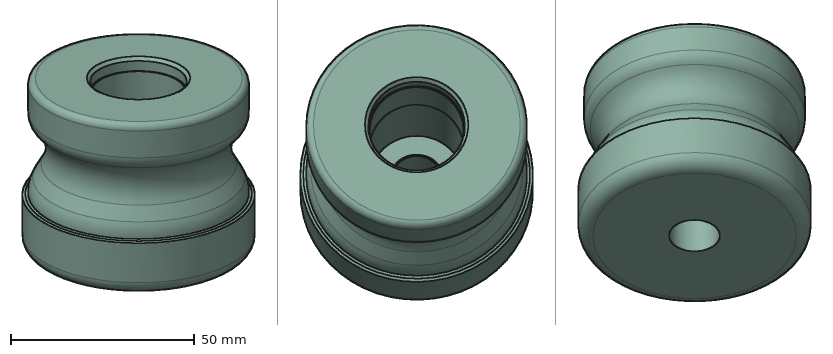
import cadquery as cq
import math

total_height = 50.8

base_radius = 31.75
base_height = 16.05
base_fillet = 4.0
base_chamfer_width = 0.8
base_chamfer_height = 0.25
neck_radius = 15.9
neck_top = 34.6
bore_radius = 12.75
bore_floor = 12.7
through_radius = 6.9
through_chamfer = 0.3

rim_radius = 30.15
rim_top_fillet = 2.0
rim_lower_z = 40.75
rim_lower_fillet = 5.0
waist_radius = 25.35
waist_arc = 9.7
flare_arc = 8.65
flare_overhang_height = 0.3
foot_radius = base_radius - base_chamfer_width
foot_height = 0.25
mouth_radius = 13.15
mouth_depth = 3.95
mouth_chamfer = 0.95


def arc_point(center, radius, angle):
    """Point on a circle, with the angle in radians."""
    return (center[0] + radius * math.cos(angle), center[1] + radius * math.sin(angle))


def make_disc():
    """Disc of the base, with a shallow top chamfer and a rounded bottom edge."""
    disc = (
        cq.Workplane("XZ")
        .lineTo(base_radius, 0)
        .lineTo(base_radius, base_height - base_chamfer_height)
        .lineTo(foot_radius, base_height)
        .lineTo(0, base_height)
        .close()
        .revolve(360, (0, 0, 0), (0, 1, 0))
    )
    return disc.faces("<Z").edges().fillet(base_fillet)


def make_base():
    """Rounded disc with a tubular neck, a blind bore and a smaller through hole."""
    neck = cq.Workplane("XY").circle(neck_radius).extrude(neck_top)
    base = make_disc().union(neck)
    bore = cq.Workplane("XY").workplane(offset=bore_floor).circle(bore_radius).extrude(neck_top)
    through = cq.Workplane("XY").circle(through_radius).extrude(total_height)
    countersink = cq.Workplane("XY").add(cq.Solid.makeCone(
        through_radius, through_radius + through_chamfer, through_chamfer,
        pnt=cq.Vector(0, 0, bore_floor - through_chamfer)))
    return base.cut(bore).cut(through).cut(countersink)


def make_spool():
    """Waisted ring that sits on the base, around its neck."""
    foot_top = base_height + foot_height

    rim_center = (rim_radius - rim_lower_fillet, rim_lower_z)
    waist_x = waist_radius + waist_arc
    touch_angle = -math.acos((waist_x - rim_center[0]) / (rim_lower_fillet + waist_arc))
    waist_center = arc_point(rim_center, rim_lower_fillet + waist_arc, touch_angle)
    flare_center = (rim_radius - flare_arc, foot_top + flare_overhang_height)
    curl_angle = -math.asin(flare_overhang_height / flare_arc)

    center_dx = waist_center[0] - flare_center[0]
    center_dz = waist_center[1] - flare_center[1]
    center_distance = math.hypot(center_dx, center_dz)
    cone_offset = math.acos((waist_arc + flare_arc) / center_distance)
    cone_angle = math.atan2(center_dz, center_dx) - cone_offset

    return (
        cq.Workplane("XZ")
        .moveTo(neck_radius, base_height)
        .lineTo(foot_radius, base_height)
        .lineTo(*arc_point(flare_center, flare_arc, curl_angle))
        .threePointArc(
            arc_point(flare_center, flare_arc, (curl_angle + cone_angle) / 2),
            arc_point(flare_center, flare_arc, cone_angle),
        )
        .lineTo(*arc_point(waist_center, waist_arc, math.pi + cone_angle))
        .threePointArc(
            (waist_radius, waist_center[1]),
            arc_point(rim_center, rim_lower_fillet, touch_angle),
        )
        .threePointArc(
            arc_point(rim_center, rim_lower_fillet, touch_angle / 2),
            (rim_radius, rim_lower_z),
        )
        .lineTo(rim_radius, total_height - rim_top_fillet)
        .radiusArc((rim_radius - rim_top_fillet, total_height), -rim_top_fillet)
        .lineTo(mouth_radius + mouth_chamfer, total_height)
        .lineTo(mouth_radius, total_height - mouth_chamfer)
        .lineTo(mouth_radius, total_height - mouth_depth)
        .lineTo(bore_radius, total_height - mouth_depth)
        .lineTo(bore_radius, neck_top)
        .lineTo(neck_radius, neck_top)
        .close()
        .revolve(360, (0, 0, 0), (0, 1, 0))
    )


base = make_base()
spool = make_spool()
result = cq.Compound.makeCompound([base.val(), spool.val()])